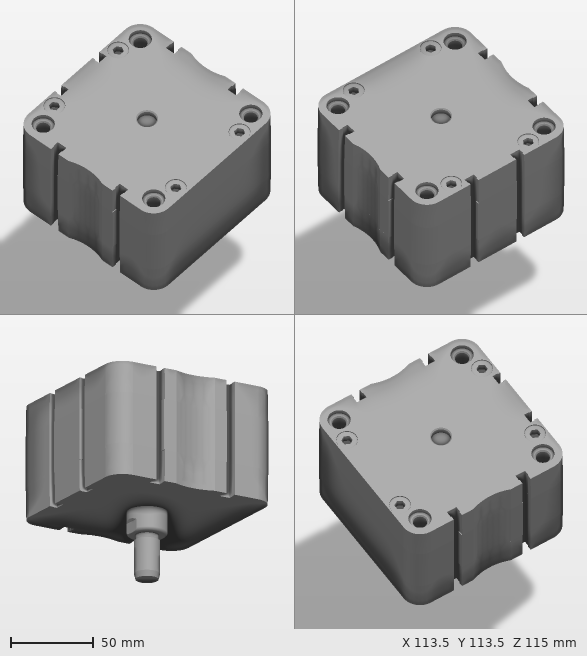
import cadquery as cq
import math


housing_width = 113.5
half_width = housing_width / 2
cap_height = 19.9
barrel_height = 32.4
barrel_top = cap_height + barrel_height
housing_top = barrel_top + cap_height
mount_offset = 44.5
corner_radius = half_width - mount_offset
cap_draft = 1.0

scallop_half_width = 13.6
scallop_depth = 2.6
scallop_edge_radius = 1.2

neck_width = 6.0
tee_width = 6.9
barrel_neck_inset = 0.5
barrel_neck_round = 0.3
side_slot_offset = 24.8
side_neck_depth = 3.3
side_slot_depth = 7.2
front_slot_offset = 17.4
front_neck_depth = 2.3
front_slot_depth = 5.8

mount_bore_diameter = 14.0
mount_bore_depth = 3.2
mount_chamfer_diameter = 10.1
mount_hole_diameter = 8.5

centre_rim_diameter = 13.5
centre_diameter = 12.0
centre_depth = 4.0

screw_x = 48.9
screw_y = 29.2
screw_recess_diameter = 13.1
screw_head_diameter = 12.6
screw_groove_depth = 1.0
screw_head_sink = 0.5
socket_across_flats = 6.0
socket_depth = 5.1

rod_diameter = 25.0
rod_length = 42.8
collar_length = 15.0
collar_round = 2.0
flat_width = 22.1
flat_start = 7.7
thread_diameter = 16.0
thread_core_diameter = 14.0
thread_start = 18.4
thread_tip_length = 3.6


def housing_outline(workplane):
    """Rounded square with a scallop in the +Y and -Y sides."""
    floor = half_width - scallop_depth
    diagonal = mount_offset + corner_radius * math.sqrt(0.5)
    return (
        workplane.moveTo(-half_width, -mount_offset)
        .threePointArc((-diagonal, -diagonal), (-mount_offset, -half_width))
        .lineTo(-scallop_half_width, -half_width)
        .threePointArc((0, -floor), (scallop_half_width, -half_width))
        .lineTo(mount_offset, -half_width)
        .threePointArc((diagonal, -diagonal), (half_width, -mount_offset))
        .lineTo(half_width, mount_offset)
        .threePointArc((diagonal, diagonal), (mount_offset, half_width))
        .lineTo(scallop_half_width, half_width)
        .threePointArc((0, floor), (-scallop_half_width, half_width))
        .lineTo(-mount_offset, half_width)
        .threePointArc((-diagonal, diagonal), (-half_width, mount_offset))
        .close()
    )


def slot_cutter(offset, neck_depth, slot_depth, inset):
    """T-slot in the -Y side at X = offset; the inset narrows the neck on the side nearer X = 0."""
    inward = -math.copysign(1, offset)
    outer = offset - inward * neck_width / 2
    inner = offset + inward * (neck_width / 2 - inset)
    neck_centre = (outer + inner) / 2
    neck = cq.Workplane("XY").box(
        abs(inner - outer), 2 * neck_depth, housing_top, centered=(True, True, False)
    ).translate((neck_centre, -half_width, 0))
    tee_depth = slot_depth - neck_depth
    tee = cq.Workplane("XY").box(
        tee_width, tee_depth, housing_top, centered=(True, False, False)
    ).translate((offset, neck_depth - half_width, 0))
    return neck.union(tee)


def cut_slots(body, inset=0.0):
    """Two T-slots in each of the -Y, +Y and -X sides."""
    for side in (-1, 1):
        side_slot = slot_cutter(side * side_slot_offset, side_neck_depth, side_slot_depth, inset)
        front_slot = slot_cutter(side * front_slot_offset, front_neck_depth, front_slot_depth, inset)
        body = body.cut(side_slot)
        body = body.cut(side_slot.mirror("XZ"))
        body = body.cut(front_slot.rotate((0, 0, 0), (0, 0, 1), -90))
    return body


def edges_near(body, x, y):
    """Vertical edges of a body at the four mirrored places of (x, y)."""
    reach = 0.06
    return body.edges("|Z").filter(
        lambda edge: abs(abs(edge.Center().x) - x) < reach and abs(abs(edge.Center().y) - y) < reach
    )


def make_barrel():
    outline = housing_outline(cq.Workplane("XY").workplane(offset=cap_height))
    barrel = cut_slots(outline.extrude(barrel_height), barrel_neck_inset)
    barrel = edges_near(barrel, scallop_half_width, half_width).fillet(scallop_edge_radius)
    neck_edge = side_slot_offset - neck_width / 2 + barrel_neck_inset
    return edges_near(barrel, neck_edge, half_width).fillet(barrel_neck_round)


def make_bearing_cap():
    """Lower cap, narrowing downwards from the barrel."""
    outline = housing_outline(cq.Workplane("XY").workplane(offset=-cap_height))
    cap = outline.extrude(cap_height, taper=cap_draft).mirror("XY")
    return cut_slots(cap)


def mount_hole():
    """Counterbored hole through the end cap, revolved about the Z axis."""
    bore = mount_bore_diameter / 2
    mouth = mount_chamfer_diameter / 2
    hole = mount_hole_diameter / 2
    shoulder = housing_top - mount_bore_depth
    return (
        cq.Workplane("XZ")
        .polyline([
            (0, housing_top),
            (bore, housing_top),
            (bore, shoulder),
            (mouth, shoulder),
            (hole, shoulder - (mouth - hole)),
            (hole, barrel_top),
            (0, barrel_top),
        ])
        .close()
        .revolve(360, (0, 0), (0, 1))
    )


def centre_recess():
    """Blind recess with a chamfered rim on the Z axis."""
    rim = centre_rim_diameter / 2
    bore = centre_diameter / 2
    return (
        cq.Workplane("XZ")
        .polyline([
            (0, housing_top),
            (rim, housing_top),
            (bore, housing_top - (rim - bore)),
            (bore, housing_top - centre_depth),
            (0, housing_top - centre_depth),
        ])
        .close()
        .revolve(360, (0, 0), (0, 1))
    )


def screw_head_recess():
    """Space around a sunk screw head: ring groove, clearance above the head and hexagon socket."""
    top = cq.Workplane("XY").workplane(offset=housing_top)
    ring = top.circle(screw_recess_diameter / 2).circle(screw_head_diameter / 2).extrude(-screw_groove_depth)
    clearance = top.circle(screw_recess_diameter / 2).extrude(-screw_head_sink)
    across_corners = socket_across_flats / math.cos(math.pi / 6)
    socket = top.polygon(6, across_corners).extrude(-socket_depth).rotate((0, 0, 0), (0, 0, 1), 30)
    return ring.union(clearance).union(socket)


def make_end_cap():
    """Upper cap, narrowing upwards from the barrel, with mounting holes and screw heads."""
    outline = housing_outline(cq.Workplane("XY").workplane(offset=barrel_top))
    cap = cut_slots(outline.extrude(cap_height, taper=cap_draft))
    cap = cap.cut(centre_recess())
    for side_x in (-1, 1):
        for side_y in (-1, 1):
            cap = cap.cut(mount_hole().translate((side_x * mount_offset, side_y * mount_offset, 0)))
            cap = cap.cut(screw_head_recess().translate((side_x * screw_x, side_y * screw_y, 0)))
    return cap


def wrench_flat():
    """Cutter for the flat on the +X side of the collar, with a 45 degree ramp at its upper end."""
    flat = flat_width / 2
    outside = rod_diameter / 2
    ramp = outside - flat
    return (
        cq.Workplane("XZ")
        .polyline([
            (flat, -collar_length),
            (outside, -collar_length),
            (outside, -flat_start + ramp),
            (flat, -flat_start),
        ])
        .close()
        .extrude(outside, both=True)
    )


def make_piston_rod():
    collar = rod_diameter / 2
    core = thread_core_diameter / 2
    thread = thread_diameter / 2
    round_offset = collar_round * (1 - math.sqrt(0.5))
    rod = (
        cq.Workplane("XZ")
        .moveTo(0, 0)
        .lineTo(collar, 0)
        .lineTo(collar, -collar_length + collar_round)
        .threePointArc(
            (collar - round_offset, -collar_length + round_offset),
            (collar - collar_round, -collar_length),
        )
        .lineTo(core, -collar_length)
        .lineTo(core, -thread_start + (thread - core))
        .lineTo(thread, -thread_start)
        .lineTo(thread, -rod_length + thread_tip_length)
        .lineTo(core, -rod_length)
        .lineTo(0, -rod_length)
        .close()
        .revolve(360, (0, 0), (0, 1))
    )
    rod = rod.cut(wrench_flat())
    return rod.cut(wrench_flat().mirror("YZ"))


barrel = make_barrel()
bearing_cap = make_bearing_cap()
end_cap = make_end_cap()
piston_rod = make_piston_rod()

result = cq.Compound.makeCompound([barrel.val(), bearing_cap.val(), end_cap.val(), piston_rod.val()])